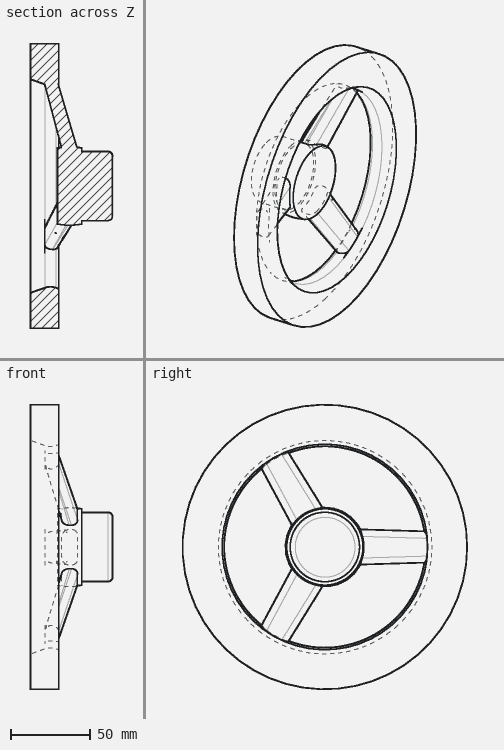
import cadquery as cq

rim_radius = 90
rim_width = 18
rim_bore_front_radius = 67.5
rim_throat_radius = 63.5
rim_throat_x = 12.6
rim_throat_half_length = 3.6
rim_throat_rise = 0.7
rim_bore_back_radius = 65.0

hub_front_x = 17.1
hub_back_x = 32.5
hub_widest_x = (hub_front_x + hub_back_x) / 2
hub_end_radius = 24.1
hub_widest_radius = 25.0
boss_radius = 44.0 / 2
boss_end_x = 52.0
boss_edge_radius = 3.0

spoke_count = 3
spoke_corner_radius = 4.3
spoke_inner_reach = 23.4
spoke_inner_half_width = 11.2
spoke_inner_front_x = 19.8
spoke_inner_back_x = 29.9
spoke_outer_reach = 64.8
spoke_outer_half_width = 9.9
spoke_outer_front_x = 8.8
spoke_outer_back_x = 17.6
spoke_start = 18
spoke_end = 67.5


def revolve_about_x(outline):
    """Close an outline drawn in X and radius, and turn it about the X axis."""
    return outline.close().revolve(360, (0, 0, 0), (1, 0, 0))


def make_rim():
    throat_edge_radius = rim_throat_radius + rim_throat_rise
    throat_front = (rim_throat_x - rim_throat_half_length, throat_edge_radius)
    throat_back = (rim_throat_x + rim_throat_half_length, throat_edge_radius)
    outline = (
        cq.Workplane("XY")
        .moveTo(*throat_front)
        .lineTo(0, rim_bore_front_radius)
        .lineTo(0, rim_radius)
        .lineTo(rim_width, rim_radius)
        .lineTo(rim_width, rim_bore_back_radius)
        .lineTo(*throat_back)
        .threePointArc((rim_throat_x, rim_throat_radius), throat_front)
    )
    return revolve_about_x(outline)


def make_hub():
    outline = (
        cq.Workplane("XY")
        .moveTo(hub_front_x, 0)
        .lineTo(hub_front_x, hub_end_radius)
        .threePointArc((hub_widest_x, hub_widest_radius), (hub_back_x, hub_end_radius))
        .lineTo(hub_back_x, 0)
    )
    body = revolve_about_x(outline)
    boss = (
        cq.Workplane("YZ", origin=(hub_widest_x, 0, 0))
        .circle(boss_radius)
        .extrude(boss_end_x - hub_widest_x)
        .faces(">X")
        .edges()
        .fillet(boss_edge_radius)
    )
    return body.union(boss)


def along_spoke(inner, outer, reach):
    """Value at a distance from the axis, varying linearly along the spoke."""
    share = (reach - spoke_inner_reach) / (spoke_outer_reach - spoke_inner_reach)
    return inner + share * (outer - inner)


def spoke_section(reach):
    """Rounded rectangular wire across the spoke at a distance from the axis."""
    front = along_spoke(spoke_inner_front_x, spoke_outer_front_x, reach)
    back = along_spoke(spoke_inner_back_x, spoke_outer_back_x, reach)
    half_width = along_spoke(spoke_inner_half_width, spoke_outer_half_width, reach)
    centre = cq.Vector((front + back) / 2, reach, 0)
    plane = cq.Plane(origin=centre, xDir=(1, 0, 0), normal=(0, 1, 0))
    sketch = cq.Sketch().rect(back - front, 2 * half_width).vertices().fillet(spoke_corner_radius)
    return cq.Workplane(plane).placeSketch(sketch).extrude(1.8).faces("<Y").wires().val()


def make_spoke():
    sections = [spoke_section(spoke_start), spoke_section(spoke_end)]
    return cq.Workplane(cq.Solid.makeLoft(sections, True))


result = make_rim().union(make_hub())
spoke = make_spoke()
for index in range(spoke_count):
    result = result.union(spoke.rotate((0, 0, 0), (1, 0, 0), index * 360 / spoke_count))